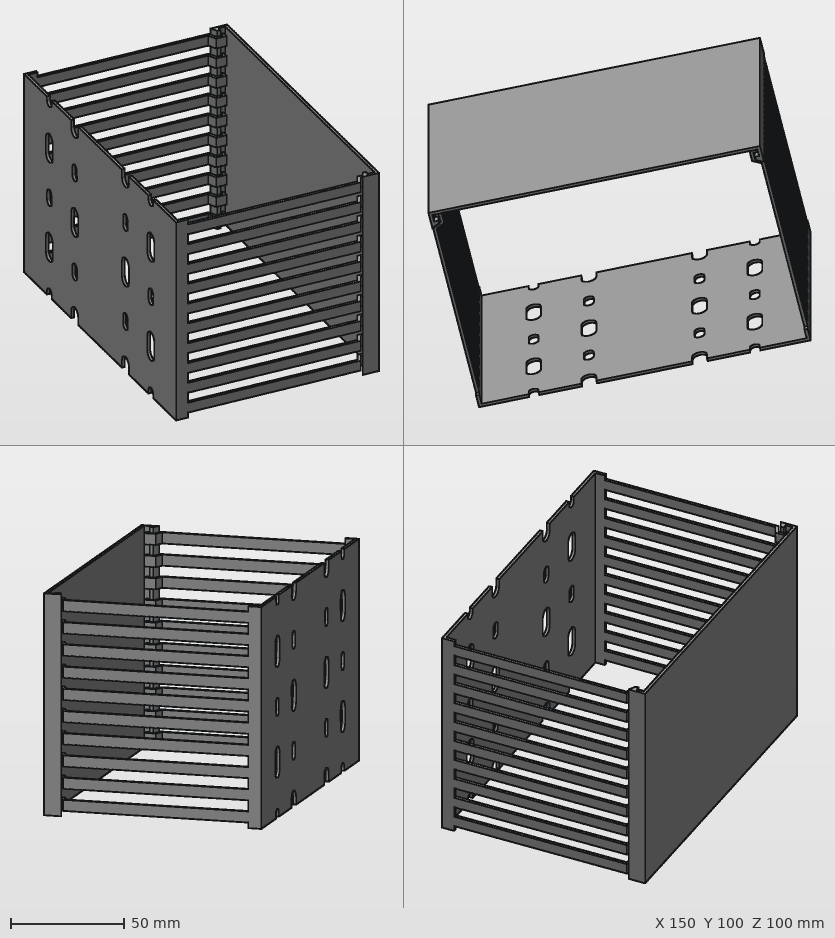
import cadquery as cq
import math

length = 150.0
depth = 100.0
height = 100.0
wall = 1.5

half_length = length / 2
front = -depth / 2
back = depth / 2

slat_count = 10
slat_pitch = height / slat_count
slat_width = slat_pitch / 2
base_strip = 6.0

clip_slope = 0.5
duct_shoulder = 9.0
finger_inset = 3.9
finger_tip = 2.8
hook_thickness = 1.2
hook_inset = 2.2
lid_skirt = 8.1
lid_foot_inset = 3.5
lid_foot_top = 4.8

hole_pitch = height / 4
large_slot_length = 14.1
large_slot_width = 6.8
small_slot_length = 8.1
small_slot_width = 4.5


def extrude_profile(points):
    """Extrude an XY outline over the full height, centred on Z = 0."""
    return cq.Workplane("XY").polyline(points).close().extrude(height / 2, both=True)


def with_mirror(left_points):
    """Complete a left-hand half outline with its mirror image about X = 0."""
    right_points = [(-x, y) for x, y in reversed(left_points)]
    return left_points + right_points


def from_clip_corner(inset, drop):
    """Point measured inward from the left face and down from the back face."""
    return (-half_length + inset, back - drop)


def duct_profile():
    finger_inner = finger_inset + wall
    inner_shoulder = duct_shoulder + wall * (math.hypot(1, clip_slope) - clip_slope)
    return with_mirror([
        (-half_length, front),
        from_clip_corner(0, duct_shoulder),
        from_clip_corner(finger_inset, duct_shoulder - clip_slope * finger_inset),
        from_clip_corner(finger_inset, finger_tip + hook_thickness),
        from_clip_corner(hook_inset, finger_tip + hook_thickness),
        from_clip_corner(hook_inset, finger_tip),
        from_clip_corner(finger_inner, finger_tip),
        from_clip_corner(finger_inner, inner_shoulder - clip_slope * (finger_inner - wall)),
        from_clip_corner(wall, inner_shoulder),
        (-half_length + wall, front + wall),
    ])


def side_gaps():
    """Cutters between neighbouring slats, with half gaps at both ends of the duct."""
    gap = slat_pitch - slat_width
    gap_depth = depth - base_strip
    gap_places = [(0, -height / 2 + i * slat_pitch) for i in range(slat_count + 1)]
    return (
        cq.Workplane("XZ", origin=(0, back, 0))
        .pushPoints(gap_places)
        .rect(length, gap)
        .extrude(gap_depth)
    )


def base_slots(slot_length, slot_width, parity):
    """Upright slots on every other point of the mounting grid."""
    places = [
        (column * hole_pitch, row * hole_pitch)
        for column in (-2, -1, 1, 2)
        for row in range(-2, 3)
        if (column + row) % 2 == parity
    ]
    return (
        cq.Workplane("XZ", origin=(0, front + wall, 0))
        .pushPoints(places)
        .slot2D(slot_length, slot_width, 90)
        .extrude(wall)
    )


def make_duct():
    return (
        extrude_profile(duct_profile())
        .cut(side_gaps())
        .cut(base_slots(large_slot_length, large_slot_width, parity=1))
        .cut(base_slots(small_slot_length, small_slot_width, parity=0))
    )


def make_lid():
    return extrude_profile(with_mirror([
        (-half_length, back),
        from_clip_corner(0, lid_skirt),
        from_clip_corner(lid_foot_inset, lid_skirt - clip_slope * lid_foot_inset),
        from_clip_corner(lid_foot_inset, lid_foot_top),
        from_clip_corner(wall, lid_foot_top),
        from_clip_corner(wall, wall),
    ]))


duct = make_duct()
lid = make_lid()

result = cq.Compound.makeCompound([duct.val(), lid.val()])